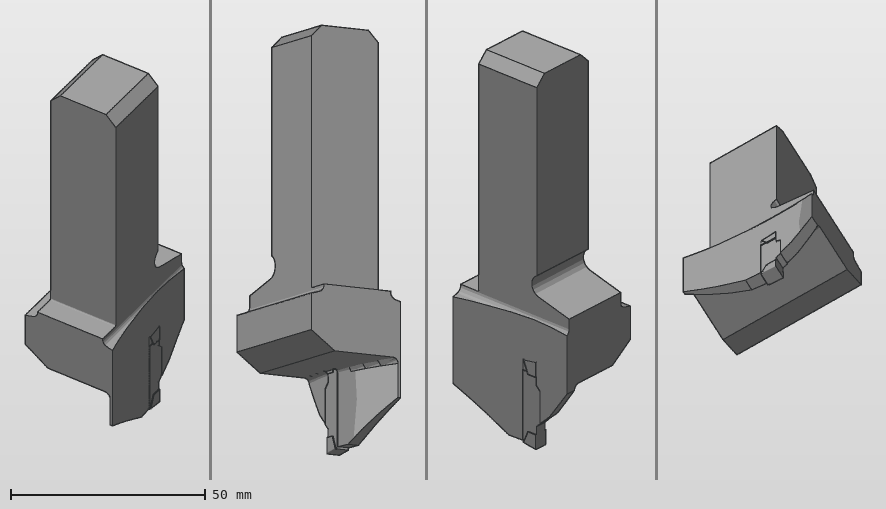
import cadquery as cq
import math


shank_size = 20.0
overall_height = 107.72
shank_chamfer = 3.0

block_left = -3.8
block_width = 26.77
block_front = -6.2
block_depth = 37.32
block_bottom = 21.6
corner_bevel_length = 7.0
corner_bevel_angle = 35.0
shoulder_angle = 15.0
shoulder_edge_z = 36.1
shoulder_fillet = 1.85
front_step_z = 38.8
front_step_fillet = 0.4

rear_shoulder_z = 41.5
relief_radius = 3.2
relief_depth = 1.7

blade_inner_x = 16.95
blade_outer_x = 20.35
blade_inner_radius = 68.0
blade_outer_radius = 130.0
blade_root_fillet = 1.5
blade_tip_z = 1.25
blade_tip_y = 11.1
blade_front_angle = 30.0
blade_rear_top_z = 20.1
blade_rear_bend = (24.7, 11.1)
blade_rear_end_z = 8.0

insert_length = 25.3
insert_width = 4.0
insert_side_relief = 0.3
insert_left = 16.5
insert_base_y = 15.4
insert_crown = 1.35
insert_crown_length = 9.4
insert_end_rise = 0.65
head_length = 4.35
head_base_y = 17.3
head_heel_y = 15.75
head_corner_radius = 0.3

block_right = block_left + block_width
block_rear = block_front + block_depth
cutting_y = shank_size
shoulder_slope = math.tan(math.radians(shoulder_angle))
shoulder_sin = math.sin(math.radians(shoulder_angle))
shoulder_cos = math.cos(math.radians(shoulder_angle))
insert_crown_y = cutting_y + insert_crown
insert_middle_z = insert_length / 2
crown_bottom_z = insert_middle_z - insert_crown_length / 2
crown_top_z = insert_middle_z + insert_crown_length / 2


def prism_along_x(outline, x_start, x_end):
    """Extrude a (y, z) outline from x_start to x_end."""
    plane = cq.Workplane("YZ", origin=(x_start, 0, 0))
    return plane.polyline(outline).close().extrude(x_end - x_start)


def upright_cylinder(vertex_x, radius):
    """Cylinder along Z whose leftmost line is at vertex_x, level with the cutting edge."""
    base = cq.Workplane("XY").center(vertex_x + radius, cutting_y)
    return base.circle(radius).extrude(overall_height)


def make_base_block():
    """Block with a bevelled lower corner and filleted, sloping side shoulders."""
    fillet_reach = shoulder_fillet * (1 - shoulder_sin)
    corner_z = shoulder_edge_z + shoulder_slope * -block_left
    fillet_end_z = corner_z - shoulder_slope * fillet_reach
    fillet_top_z = fillet_end_z + shoulder_fillet * shoulder_cos
    half_turn = math.radians(90 - shoulder_angle) / 2
    fillet_mid_x = shoulder_fillet * (1 - math.cos(half_turn))
    fillet_mid_z = fillet_top_z - shoulder_fillet * math.sin(half_turn)
    bevel_height = corner_bevel_length * math.tan(math.radians(corner_bevel_angle))
    right_edge_z = corner_z - shoulder_slope * (block_right - shank_size)
    profile = (
        cq.Workplane("XZ", origin=(0, block_front, 0))
        .moveTo(block_left + corner_bevel_length, block_bottom)
        .lineTo(block_right, block_bottom)
        .lineTo(block_right, right_edge_z)
        .lineTo(shank_size + fillet_reach, fillet_end_z)
        .threePointArc((shank_size + fillet_mid_x, fillet_mid_z), (shank_size, fillet_top_z))
        .lineTo(0, fillet_top_z)
        .threePointArc((-fillet_mid_x, fillet_mid_z), (-fillet_reach, fillet_end_z))
        .lineTo(block_left, shoulder_edge_z)
        .lineTo(block_left, block_bottom + bevel_height)
        .close()
    )
    return profile.extrude(-block_depth)


def make_shank():
    """Square shank with its front step, rear shoulder, relief groove and chamfered top."""
    centre_y = shank_size - relief_depth + relief_radius
    tangent_y = centre_y - relief_radius * shoulder_sin
    tangent_z = rear_shoulder_z + shoulder_slope * (block_rear - tangent_y)
    centre_z = tangent_z + relief_radius * shoulder_cos
    relief_top_z = centre_z + math.sqrt(relief_radius**2 - (centre_y - shank_size) ** 2)
    profile = (
        cq.Workplane("YZ")
        .moveTo(block_front, shoulder_edge_z)
        .lineTo(block_front, front_step_z)
        .lineTo(0, front_step_z)
        .lineTo(0, overall_height)
        .lineTo(shank_size, overall_height)
        .lineTo(shank_size, relief_top_z)
        .threePointArc((shank_size - relief_depth, centre_z), (tangent_y, tangent_z))
        .lineTo(block_rear, rear_shoulder_z)
        .lineTo(block_rear, shoulder_edge_z)
        .close()
    )
    shank = profile.extrude(shank_size)
    shank = shank.faces(">Z").edges("|Y").chamfer(shank_chamfer)
    step_corner = cq.selectors.NearestToPointSelector((shank_size / 2, 0, front_step_z))
    return shank.edges(step_corner).fillet(front_step_fillet)


def make_blade():
    """Thin curved blade hanging from the block."""
    front_rise = (blade_tip_y - block_front) * math.tan(math.radians(blade_front_angle))
    outline = [
        (block_front, block_bottom),
        (block_front, blade_tip_z + front_rise),
        (blade_tip_y, blade_tip_z),
        (cutting_y, blade_tip_z),
        (insert_crown_y, blade_rear_end_z),
        blade_rear_bend,
        (block_rear, blade_rear_top_z),
        (block_rear, block_bottom),
    ]
    blade = prism_along_x(outline, insert_left, block_right)
    return blade.intersect(upright_cylinder(blade_inner_x, blade_inner_radius))


def make_insert():
    """Double-ended cutting insert: a narrow bar with a wider head at each end."""
    bar_outline = [
        (insert_base_y, insert_end_rise),
        (cutting_y, 0),
        (cutting_y, crown_bottom_z - insert_crown),
        (insert_crown_y, crown_bottom_z),
        (insert_crown_y, crown_top_z),
        (cutting_y, crown_top_z + insert_crown),
        (cutting_y, insert_length),
        (insert_base_y, insert_length - insert_end_rise),
    ]
    insert_right = insert_left + insert_width
    bar = prism_along_x(
        bar_outline, insert_left + insert_side_relief, insert_right - insert_side_relief
    )
    end_slope = insert_end_rise / (cutting_y - insert_base_y)
    head_outline = [
        (head_heel_y, end_slope * (cutting_y - head_heel_y)),
        (cutting_y, 0),
        (cutting_y, head_length),
        (head_base_y, head_length),
    ]
    head = prism_along_x(head_outline, insert_left, insert_right)
    for side_x in (insert_left, insert_right):
        corner = cq.selectors.NearestToPointSelector((side_x, (cutting_y + head_heel_y) / 2, 0))
        head = head.edges(corner).fillet(head_corner_radius)
    upper_head = head.mirror("XY", (0, 0, insert_middle_z))
    return bar.union(head).union(upper_head)


def make_seat():
    """Slot for the insert's bar, open at both sides of the blade below the block."""
    outline = [
        (insert_base_y, 0),
        (cutting_y, 0),
        (insert_crown_y, crown_bottom_z),
        (insert_crown_y, crown_top_z),
        (cutting_y, crown_top_z + insert_crown),
        (cutting_y, block_bottom),
        (insert_base_y, block_bottom),
    ]
    return prism_along_x(outline, block_left, block_right)


insert = make_insert()

holder = make_base_block().union(make_shank()).union(make_blade())
root_edge = cq.selectors.NearestToPointSelector((blade_inner_x, cutting_y, block_bottom))
holder = holder.edges(root_edge).fillet(blade_root_fillet)
holder = holder.cut(upright_cylinder(blade_outer_x, blade_outer_radius))
holder = holder.cut(make_seat()).cut(insert)

result = cq.Compound.makeCompound([holder.solids().val(), insert.solids().val()])